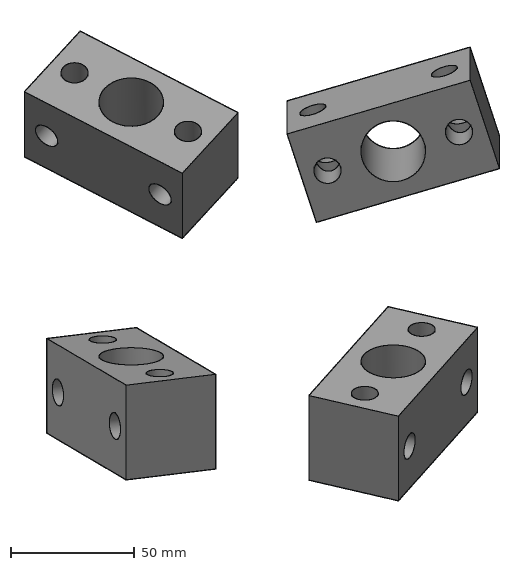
import cadquery as cq

length = 78.0
side = 40.0

bore_diameter = 26.2
bolt_diameter = 11.0
bolt_spacing = 56.0

bolt_centres = [(-bolt_spacing / 2, 0), (bolt_spacing / 2, 0)]


def drill_bolt_pair(body, face):
    """Drill two bolt holes, spaced along X, through the body from the given face."""
    return body.faces(face).workplane(origin=(0, 0, 0)).pushPoints(bolt_centres).hole(bolt_diameter)


block = cq.Workplane("XY").box(length, side, side)

block = block.faces(">Z").workplane().hole(bore_diameter)

block = drill_bolt_pair(block, ">Z")
result = drill_bolt_pair(block, "<Y")